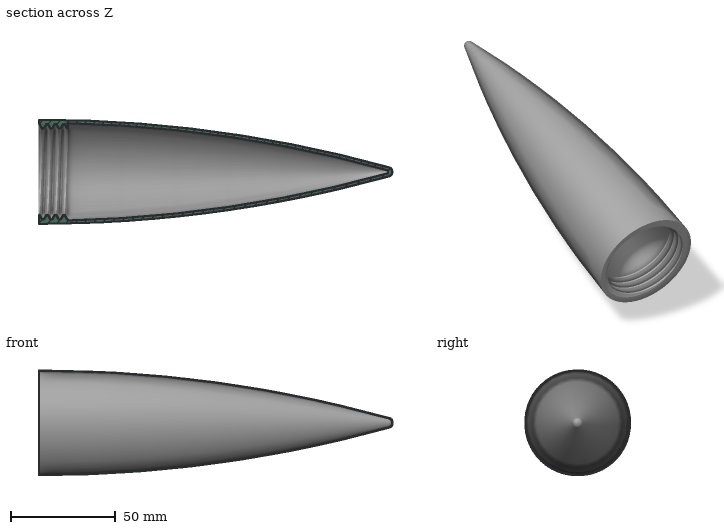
import cadquery as cq
import math

BASE_RADIUS = 50.0 / 2
OGIVE_LENGTH = 175.0
TIP_RADIUS = 2.35
WALL = 1.75
CAVITY_END_RADIUS = TIP_RADIUS - WALL

COLLAR_LENGTH = 14.0
PITCH = 4.0
MINOR_RADIUS = 40.97 / 2
MAJOR_RADIUS = 45.44 / 2
CREST_WIDTH = PITCH / 5
HALF_FLANK_ANGLE = math.radians(30)
GROOVE_START_ANGLE = 6.0
GROOVE_LEAD = 0.75 * PITCH
CUT_OVERLAP = 0.2

ARC_RADIUS = (BASE_RADIUS**2 + OGIVE_LENGTH**2) / (2 * BASE_RADIUS)
ARC_CENTRE_Y = BASE_RADIUS - ARC_RADIUS
TIP_CENTRE_X = math.sqrt((ARC_RADIUS - TIP_RADIUS) ** 2 - ARC_CENTRE_Y**2)
TANGENT_ANGLE = math.atan2(-ARC_CENTRE_Y, TIP_CENTRE_X)
ARC_END_X = ARC_RADIUS * math.cos(TANGENT_ANGLE)
CAVITY_END_X = math.sqrt((ARC_RADIUS - WALL) ** 2 - (CAVITY_END_RADIUS - ARC_CENTRE_Y) ** 2)


def ogive_profile(inset, end_x):
    """Open half profile from the axis at the base to `end_x`, lying `inset` inside the outer skin."""
    radius = ARC_RADIUS - inset

    def arc_point(x):
        return (x, ARC_CENTRE_Y + math.sqrt(radius**2 - x**2))

    return (
        cq.Workplane("XY")
        .lineTo(0, BASE_RADIUS - inset)
        .threePointArc(arc_point(end_x / 2), arc_point(end_x))
    )


def revolve_about_x(profile):
    return profile.close().revolve(360, (0, 0, 0), (1, 0, 0))


def hollow_shell():
    """Ogive skin of constant wall; the cavity is open at the base and ends flat near the tip."""

    def tip_point(angle):
        return (TIP_CENTRE_X + TIP_RADIUS * math.cos(angle), TIP_RADIUS * math.sin(angle))

    outer_profile = ogive_profile(0, ARC_END_X).threePointArc(
        tip_point(TANGENT_ANGLE / 2), tip_point(0)
    )
    cavity_profile = ogive_profile(WALL, CAVITY_END_X).lineTo(CAVITY_END_X, 0)
    return revolve_about_x(outer_profile).cut(revolve_about_x(cavity_profile))


def thread_groove():
    """Right-handed helical cutter about Z, starting on the +X side one lead below the collar."""

    def half_width(radius):
        return (PITCH - CREST_WIDTH) / 2 - (radius - MINOR_RADIUS) * math.tan(HALF_FLANK_ANGLE)

    inner_radius = MINOR_RADIUS - CUT_OVERLAP
    helix = cq.Wire.makeHelix(PITCH, COLLAR_LENGTH + 2 * GROOVE_LEAD, MINOR_RADIUS)
    return (
        cq.Workplane("XZ")
        .moveTo(inner_radius, -half_width(inner_radius))
        .lineTo(MAJOR_RADIUS, -half_width(MAJOR_RADIUS))
        .lineTo(MAJOR_RADIUS, half_width(MAJOR_RADIUS))
        .lineTo(inner_radius, half_width(inner_radius))
        .close()
        .sweep(cq.Workplane(obj=helix), isFrenet=True)
        .translate((0, 0, -GROOVE_LEAD))
    )


def threaded_collar():
    """Ring with the internal thread; its outer surface is buried in the middle of the shell wall."""
    ring = (
        cq.Workplane("XY")
        .circle(BASE_RADIUS - WALL / 2)
        .circle(MINOR_RADIUS)
        .extrude(COLLAR_LENGTH)
    )
    lead_turn = 360 * GROOVE_LEAD / PITCH
    return (
        ring.cut(thread_groove())
        .rotate((0, 0, 0), (0, 1, 0), 90)
        .rotate((0, 0, 0), (1, 0, 0), 90 + GROOVE_START_ANGLE - lead_turn)
    )


result = hollow_shell().union(threaded_collar())